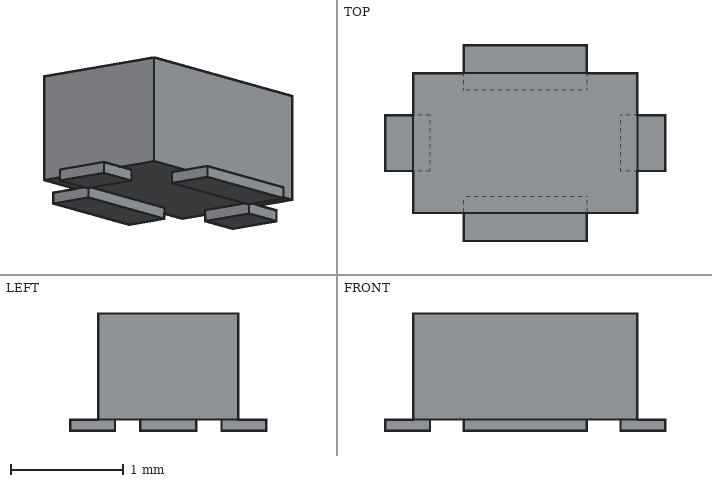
import cadquery as cq

overall_x = 2.5
overall_y = 1.75
overall_z = 1.05

pad_thickness = 0.1
pad_overhang = 0.25
pad_depth = 0.4
end_pad_width = 0.5
side_pad_width = 1.1

housing_x = overall_x - 2 * pad_overhang
housing_y = overall_y - 2 * pad_overhang
housing_z = overall_z - pad_thickness


def make_block(size_x, size_y, size_z, center_x, center_y, bottom_z):
    """Solid block centred on (center_x, center_y), standing on bottom_z."""
    block = cq.Workplane("XY").box(size_x, size_y, size_z, centered=(True, True, False))
    return block.translate((center_x, center_y, bottom_z)).val()


def make_housing():
    """Plain rectangular housing resting on top of the pads."""
    return make_block(housing_x, housing_y, housing_z, 0, 0, pad_thickness)


def make_end_pad(side):
    """Narrow pad at the -X (side = -1) or +X (side = 1) end."""
    center_x = side * (overall_x - pad_depth) / 2
    return make_block(pad_depth, end_pad_width, pad_thickness, center_x, 0, 0)


def make_side_pad(side):
    """Wide pad along the -Y (side = -1) or +Y (side = 1) edge."""
    center_y = side * (overall_y - pad_depth) / 2
    return make_block(side_pad_width, pad_depth, pad_thickness, 0, center_y, 0)


housing = make_housing()
end_pads = [make_end_pad(side) for side in (-1, 1)]
side_pads = [make_side_pad(side) for side in (-1, 1)]

result = cq.Compound.makeCompound([housing, *end_pads, *side_pads])